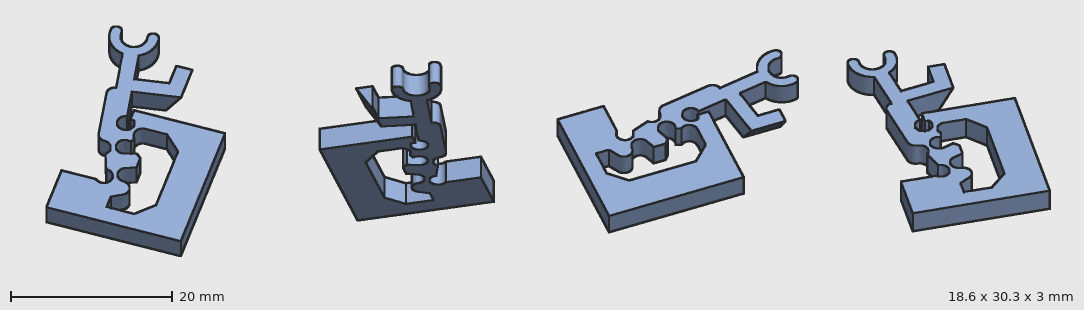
import cadquery as cq
import math

thickness = 3.0

body_width = 17.53
body_height = 17.95
foot_height = 6.15
body_top_left = 5.63
lip_bottom = 16.4

flex_radius = 1.1
lobe_offset = 2 * flex_radius
arm_hole = (5.3, 15.7)
foot_notch = (5.3, 6.9)
arm_notch = (3.65, 11.1)
arm_heel = (arm_notch[0], arm_notch[1] + lobe_offset)

link_top = (4.42, 10.23)
link_bottom = (5.25, 8.02)

pocket_right = 12.83
pocket_top = 15.55
pocket_bottom = 2.35
pocket_left = 7.1
pocket_chamfer = 2.15
upper_relief = (7.87, pocket_top - flex_radius)
middle_relief = (6.33, 12.08)
lower_relief = (7.87, 7.93)
pocket_lobe = (lower_relief[0], lower_relief[1] - lobe_offset)
step_top = (7.08, 13.8)
step_bottom = (6.8, 13.02)
tooth_tip_x = 8.72
tooth_chamfer_start = 8.05
tooth_tip_top = 11.0
tooth_slope = 20.0
lobe_slope = 30.0

arm_tilt = 9.4
arm_base = (5.12, 16.83)
neck_width = 2.03
shoulder = (2.63, 19.6)
branch_start = 3.87
branch_end = 5.9
arm_end = 10.3

prong_left = 8.48
prong_right = 10.6
prong_top = 26.25
prong_foot_width = 0.2

fork_center = (2.05, 29.05)
fork_outer = 3.1
fork_inner = 1.65
fork_right_angle = 12.1
fork_left_angle = 176.0


def polar(center, radius, degrees):
    angle = math.radians(degrees)
    return (center[0] + radius * math.cos(angle), center[1] + radius * math.sin(angle))


def on_arm(along, left):
    """Point a given distance up the arm and left of its right edge."""
    point = polar(arm_base, along, 90 + arm_tilt)
    return polar(point, left, 180 + arm_tilt)


def on_slope(start, degrees, x):
    """Point at the given X on a sloping line through start."""
    return (x, start[1] + (x - start[0]) * math.tan(math.radians(degrees)))


def plate(points):
    return cq.Workplane("XY").polyline(points).close().extrude(thickness)


def disc(center):
    return cq.Workplane("XY").center(*center).circle(flex_radius).extrude(thickness)


def make_body():
    """Body, hinge link and the wide lower half of the arm."""
    body = plate([
        (0, 0),
        (body_width, 0),
        (body_width, body_height),
        (body_top_left, body_height),
        (body_top_left, arm_hole[1]),
        arm_hole,
        arm_base,
        on_arm(branch_start, 0),
        shoulder,
        polar(shoulder, flex_radius, 180 + arm_tilt),
        polar(arm_heel, flex_radius, 180 + arm_tilt),
        arm_heel,
        arm_notch,
        link_top,
        link_bottom,
        foot_notch,
        (foot_notch[0], foot_height),
        (0, foot_height),
    ])
    return body.union(disc(shoulder)).union(disc(arm_heel))


def make_neck():
    return plate([
        on_arm(0, 0),
        on_arm(arm_end, 0),
        on_arm(arm_end, neck_width),
        on_arm(0, neck_width),
    ])


def make_branch():
    lower_root = on_arm(branch_start, 0)
    upper_root = on_arm(branch_end, 0)
    branch = plate([
        on_arm(branch_start, neck_width / 2),
        on_slope(lower_root, arm_tilt, prong_right),
        (prong_right, prong_top),
        (prong_left, prong_top),
        on_slope(upper_root, arm_tilt, prong_left),
        on_arm(branch_end, neck_width / 2),
    ])
    undercut = (
        cq.Workplane("XZ", origin=(0, prong_top, 0))
        .polyline([
            (prong_left + prong_foot_width, 0),
            (prong_right, 0),
            (prong_right, thickness),
        ])
        .close()
        .extrude(prong_top - arm_base[1])
    )
    return branch.cut(undercut)


def make_fork():
    """Open C-shaped ring with round tips."""
    tip_radius = (fork_outer - fork_inner) / 2
    middle_angle = (fork_left_angle + fork_right_angle) / 2 - 180
    return (
        cq.Workplane("XY")
        .moveTo(*polar(fork_center, fork_outer, fork_left_angle))
        .threePointArc(
            polar(fork_center, fork_outer, middle_angle),
            polar(fork_center, fork_outer, fork_right_angle),
        )
        .threePointArc(
            polar(polar(fork_center, fork_inner + tip_radius, fork_right_angle),
                  tip_radius, fork_right_angle + 90),
            polar(fork_center, fork_inner, fork_right_angle),
        )
        .threePointArc(
            polar(fork_center, fork_inner, middle_angle),
            polar(fork_center, fork_inner, fork_left_angle),
        )
        .threePointArc(
            polar(polar(fork_center, fork_inner + tip_radius, fork_left_angle),
                  tip_radius, fork_left_angle - 90),
            polar(fork_center, fork_outer, fork_left_angle),
        )
        .close()
        .extrude(thickness)
    )


def make_pocket():
    tooth_top_root = polar(middle_relief, flex_radius, tooth_slope - 90)
    tooth_bottom_root = polar(lower_relief, flex_radius, tooth_slope + 90)
    ramp_top = polar(pocket_lobe, flex_radius, lobe_slope - 90)
    pocket = plate([
        (upper_relief[0], pocket_top),
        (pocket_right - pocket_chamfer, pocket_top),
        (pocket_right, pocket_top - pocket_chamfer),
        (pocket_right, pocket_bottom + pocket_chamfer),
        (pocket_right - pocket_chamfer, pocket_bottom),
        (pocket_left, pocket_bottom),
        on_slope(ramp_top, lobe_slope, pocket_left),
        ramp_top,
        pocket_lobe,
        lower_relief,
        tooth_bottom_root,
        on_slope(tooth_bottom_root, tooth_slope, tooth_tip_x),
        (tooth_tip_x, tooth_tip_top),
        on_slope(tooth_top_root, tooth_slope, tooth_chamfer_start),
        tooth_top_root,
        middle_relief,
        step_bottom,
        step_top,
        upper_relief,
    ])
    for center in (upper_relief, middle_relief, lower_relief):
        pocket = pocket.union(disc(center))
    return pocket.cut(disc(pocket_lobe))


def make_arm_hole():
    """Relief hole, flattened where the lip of the upper bar enters it."""
    lip = plate([
        (body_top_left, lip_bottom),
        (body_width, lip_bottom),
        (body_width, body_height),
        (body_top_left, body_height),
    ])
    return disc(arm_hole).cut(lip)


result = make_body().union(make_neck()).union(make_branch()).union(make_fork())
for cutter in (make_pocket(), make_arm_hole(), disc(arm_notch), disc(foot_notch)):
    result = result.cut(cutter)